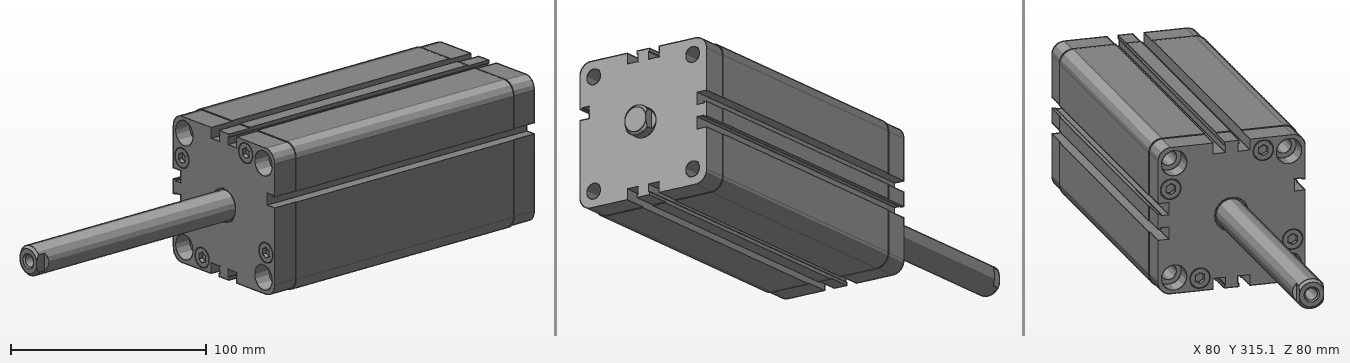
import cadquery as cq
import math

barrel_width = 80.0
cap_width = 79.0
barrel_corner_radius = 7.2
cap_corner_radius = barrel_corner_radius - (barrel_width - cap_width) / 2
cap_length = 14.2
housing_length = 175.8
barrel_length = housing_length - 2 * cap_length

rod_diameter = 16.0
rod_front_reach = 132.3
rod_rear_reach = 7.0
rod_chamfer = 1.42
flat_width = 13.0
flat_length = 7.0
thread_diameter = 6.5
thread_mouth_diameter = 8.2
thread_depth = 15.8
drill_tip_angle = 118
rod_seat_diameter = 18.0
rod_seat_depth = 1.0

slot_offset = 6.5
single_slot_offset = 12.3
slot_mouth_width = 6.0
slot_inner_width = 6.5
slot_depth = 6.3
slot_lip = 2.2

mount_offset = 31.0
mount_diameter = 8.5
mount_recess_diameter = 13.5
mount_recess_depth = 9.5

screw_long_offset = 32.8
screw_short_offset = 17.0
screw_seat_diameter = 11.0
screw_head_diameter = 10.5
screw_seat_depth = 3.0
socket_flats = 5.0
socket_depth = 2.5


def plane_at(y):
    """Plane across the Y axis whose normal points to +Y; local x is -X, local y is Z."""
    return cq.Workplane(cq.Plane(origin=(0, y, 0), xDir=(-1, 0, 0), normal=(0, 1, 0)))


def cylinder(x, z, diameter, y_start, length):
    return plane_at(y_start).center(-x, z).circle(diameter / 2).extrude(length)


def rounded_block(width, corner_radius, y_start, length):
    block = plane_at(y_start).rect(width, width).extrude(length)
    return block.edges("|Y").fillet(corner_radius)


def lipped_slot(quarter_turns, center, side):
    """Slot cutter made in the top face, turned about Y; side is the X sign of its lipless wall."""
    face = barrel_width / 2
    wall = center + side * slot_inner_width / 2
    lip_edge = wall - side * slot_mouth_width
    inner_wall = wall - side * slot_inner_width
    floor = face - slot_depth
    outline = [
        (wall, face),
        (wall, floor),
        (inner_wall, floor),
        (inner_wall, face - slot_lip),
        (lip_edge, face - slot_lip),
        (lip_edge, face),
    ]
    slot = plane_at(0).polyline([(-x, z) for x, z in outline]).close().extrude(housing_length)
    return slot.rotate((0, 0, 0), (0, 1, 0), 90 * quarter_turns)


def make_housing():
    housing = rounded_block(barrel_width, barrel_corner_radius, cap_length, barrel_length)
    for y_start in (0, housing_length - cap_length):
        housing = housing.union(rounded_block(cap_width, cap_corner_radius, y_start, cap_length))
    for quarter_turns in (0, 2, 3):
        for side in (-1, 1):
            housing = housing.cut(lipped_slot(quarter_turns, side * slot_offset, side))
    return housing.cut(lipped_slot(1, -single_slot_offset, 1))


def cut_mounting_holes(body):
    for x in (-mount_offset, mount_offset):
        for z in (-mount_offset, mount_offset):
            body = body.cut(cylinder(x, z, mount_diameter, 0, housing_length))
            body = body.cut(cylinder(x, z, mount_recess_diameter, 0, mount_recess_depth))
    return body


def cut_cap_screws(body):
    """Thin clearance ring and hexagon socket of each cap screw, socket corners up and down."""
    socket_corners = socket_flats / math.cos(math.pi / 6)
    x, z = screw_short_offset, screw_long_offset
    for _ in range(4):
        seat = cylinder(x, z, screw_seat_diameter, 0, screw_seat_depth)
        head = cylinder(x, z, screw_head_diameter, 0, screw_seat_depth)
        socket = plane_at(0).center(-x, z).transformed(rotate=(0, 0, 90))
        socket = socket.polygon(6, socket_corners).extrude(socket_depth)
        body = body.cut(seat.cut(head)).cut(socket)
        x, z = z, -x
    return body


def cut_wrench_flats(rod, end, inward):
    """Flats facing -X and +X at a rod end, running out at 45 degrees; inward is the Y sign into the rod."""
    flat = flat_width / 2
    depth = rod_diameter / 2 - flat
    runout = end + inward * flat_length
    for side in (-1, 1):
        cutter = (
            cq.Workplane("XY")
            .moveTo(side * flat, end)
            .lineTo(side * flat, runout - inward * depth)
            .lineTo(side * (flat + depth), runout)
            .lineTo(side * (flat + depth), end)
            .close()
            .extrude(rod_diameter / 2, both=True)
        )
        rod = rod.cut(cutter)
    return rod


def make_rod():
    front = -rod_front_reach
    rear = housing_length + rod_rear_reach
    rod = cylinder(0, 0, rod_diameter, front, rear - front)
    rod = rod.faces("<Y or >Y").chamfer(rod_chamfer)
    rod = cut_wrench_flats(rod, front, 1)
    rod = cut_wrench_flats(rod, rear, -1)
    radius = thread_diameter / 2
    mouth_radius = thread_mouth_diameter / 2
    tip_length = radius / math.tan(math.radians(drill_tip_angle / 2))
    hole = (
        cq.Workplane("XY")
        .moveTo(0, front)
        .lineTo(mouth_radius, front)
        .lineTo(radius, front + mouth_radius - radius)
        .lineTo(radius, front + thread_depth)
        .lineTo(0, front + thread_depth + tip_length)
        .close()
        .revolve(360, (0, 0, 0), (0, 1, 0))
    )
    return rod.cut(hole)


housing = cut_cap_screws(cut_mounting_holes(make_housing()))
housing = housing.cut(cylinder(0, 0, rod_seat_diameter, 0, rod_seat_depth))
result = housing.union(make_rod())